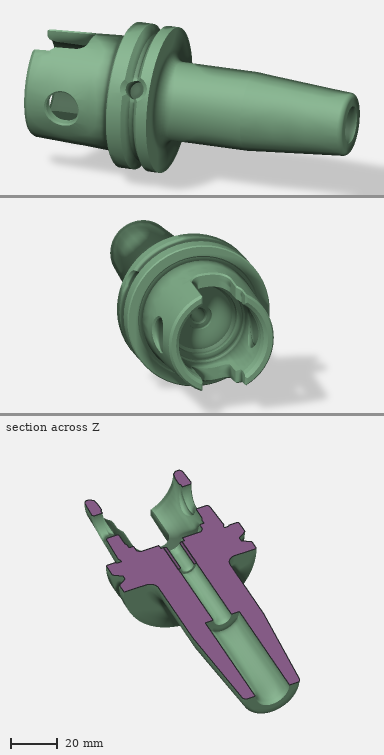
import cadquery as cq
import math


total_length = 139.95
flange_start = 39.7
flange_end = 58.0

shank_end_diameter = 46.3
shank_taper = 0.1
shank_lead_length = 1.4
shank_lead_depth = 0.8
relief_width = 0.9
relief_depth = 0.6
face_recess_diameter = 53.8
face_recess_depth = 0.6

flange_diameter = 62.95
flange_chamfer = 0.5
groove_center = 49.8
groove_mouth = 6.8
groove_floor = 1.8
groove_depth = 3.85

neck_diameter = 34.0
neck_fillet = 4.0
nose_diameter = 27.0
nose_half_angle = 4.5
nose_fillet = 2.0

mouth_diameter = 40.6
mouth_step_diameter = 37.6
mouth_depth = 1.35
cavity_diameter = 36.5
cavity_lead_end = 4.25
cavity_end = 31.0
seat_diameter = 35.27
seat_start = 32.0
seat_end = 34.0
floor_bore_diameter = 31.1
floor_chamfer = 1.25
cavity_floor = 38.2

slot_half_width = 8.4
slot_end = 22.6
slot_corner_radius = 4.2
slot_wide_half_width = 10.4
slot_wide_end = 7.3
slot_mouth_bevel = 0.8
slot_chamfer = 0.7
ball_hole_diameter = 14.5
ball_hole_chamfer = 0.8
ball_seat_diameter = 16.6
ball_seat_center = 16.6
ball_seat_reach = 18.8
ball_hole_center = 17.4

edge_tolerance = 0.05

notch_center = 50.9
notch_elevation = 30.0
notch_diameter = 8.0
notch_rim_diameter = 12.0
notch_floor_radius = 22.0

tool_bore_diameter = 16.0
tool_bore_depth = 50.0
relief_bore_diameter = 11.0
relief_bore_depth = 2.0
screw_diameter = 8.47
screw_length = 15.0
coolant_bore_diameter = 6.0
coolant_rim_diameter = 7.47


def turned(profile):
    """Close an open outline and turn it about the X axis."""
    return profile.close().revolve(360, (0, 0, 0), (1, 0, 0))


def taper_radius(x):
    return (shank_end_diameter + shank_taper * x) / 2


def make_outside():
    flange_radius = flange_diameter / 2
    recess_radius = face_recess_diameter / 2
    recess_floor = flange_start + face_recess_depth
    relief_start = flange_start - relief_width
    relief_radius = taper_radius(relief_start) - relief_depth
    neck_radius = neck_diameter / 2
    cone_length = (neck_diameter - nose_diameter) / 2 / math.tan(math.radians(nose_half_angle))
    profile = (
        cq.Workplane("XY")
        .moveTo(0, 0)
        .lineTo(0, taper_radius(0) - shank_lead_depth)
        .lineTo(shank_lead_length, taper_radius(shank_lead_length))
        .lineTo(relief_start, taper_radius(relief_start))
        .lineTo(relief_start + relief_depth, relief_radius)
        .lineTo(recess_floor, relief_radius)
        .lineTo(recess_floor, recess_radius - face_recess_depth)
        .lineTo(flange_start, recess_radius)
        .lineTo(flange_start, flange_radius - flange_chamfer)
        .lineTo(flange_start + flange_chamfer, flange_radius)
        .lineTo(flange_end, flange_radius)
        .lineTo(flange_end, neck_radius + neck_fillet)
        .radiusArc((flange_end + neck_fillet, neck_radius), -neck_fillet)
        .lineTo(total_length - cone_length, neck_radius)
        .lineTo(total_length, nose_diameter / 2)
        .lineTo(total_length, 0)
    )
    body = turned(profile)
    return body.faces(">X").edges().fillet(nose_fillet)


def make_groove():
    rim_radius = flange_diameter / 2
    floor_radius = rim_radius - groove_depth
    half_mouth = groove_mouth / 2
    half_floor = groove_floor / 2
    profile = (
        cq.Workplane("XY")
        .moveTo(groove_center - half_floor, floor_radius)
        .lineTo(groove_center + half_floor, floor_radius)
        .lineTo(groove_center + half_mouth, rim_radius)
        .lineTo(groove_center - half_mouth, rim_radius)
    )
    return turned(profile)


def make_cavity():
    profile = (
        cq.Workplane("XY")
        .moveTo(0, 0)
        .lineTo(0, mouth_diameter / 2)
        .lineTo(mouth_depth, mouth_step_diameter / 2)
        .lineTo(cavity_lead_end, cavity_diameter / 2)
        .lineTo(cavity_end, cavity_diameter / 2)
        .lineTo(seat_start, seat_diameter / 2)
        .lineTo(seat_end, seat_diameter / 2)
        .lineTo(seat_end, floor_bore_diameter / 2)
        .lineTo(cavity_floor - floor_chamfer, floor_bore_diameter / 2)
        .lineTo(cavity_floor, floor_bore_diameter / 2 - floor_chamfer)
        .lineTo(cavity_floor, 0)
    )
    return turned(profile)


def make_slot():
    corner_start = slot_end - slot_corner_radius
    corner_offset = slot_half_width - slot_corner_radius
    widening = slot_wide_half_width - slot_half_width
    return (
        cq.Workplane("XY", origin=(0, 0, -flange_diameter / 2))
        .moveTo(0, slot_half_width + slot_mouth_bevel)
        .lineTo(slot_mouth_bevel, slot_half_width)
        .lineTo(corner_start, slot_half_width)
        .radiusArc((slot_end, corner_offset), slot_corner_radius)
        .lineTo(slot_end, -corner_offset)
        .radiusArc((corner_start, -slot_half_width), slot_corner_radius)
        .lineTo(slot_wide_end + widening, -slot_half_width)
        .lineTo(slot_wide_end, -slot_wide_half_width)
        .lineTo(slot_mouth_bevel, -slot_wide_half_width)
        .lineTo(0, -slot_wide_half_width - slot_mouth_bevel)
        .close()
        .extrude(flange_diameter)
    )


def across_shank(center, diameter, reach):
    """Cylinder along Y through the shank, reaching equally far on both sides of the axis."""
    return cq.Workplane("XZ", origin=(center, reach, 0)).circle(diameter / 2).extrude(2 * reach)


def make_notch(side, rim_diameter):
    """Radial hole in the flange, on the +Y (side = 1) or -Y (side = -1) flank."""
    angle = math.radians(notch_elevation)
    outward = cq.Vector(0, side * math.cos(angle), math.sin(angle))
    depth = flange_diameter / 2 - notch_floor_radius
    floor_center = cq.Vector(notch_center, 0, 0) + outward * notch_floor_radius
    hole = cq.Solid.makeCylinder(notch_diameter / 2, depth, floor_center, outward)
    countersink = (rim_diameter - notch_diameter) / 2
    if countersink > 0:
        cone_start = floor_center + outward * (depth - countersink)
        cone = cq.Solid.makeCone(notch_diameter / 2, rim_diameter / 2, countersink, cone_start, outward)
        hole = hole.fuse(cone)
    return hole


def along_axis(start, diameter, length):
    return cq.Workplane("YZ", origin=(start, 0, 0)).circle(diameter / 2).extrude(length)


def is_slot_edge(edge):
    """True for edges where the drive slots break through the taper."""
    middle = edge.positionAt(0.5)
    box = edge.BoundingBox()
    on_taper = abs(math.hypot(middle.y, middle.z) - taper_radius(middle.x)) < edge_tolerance
    beside_slot = abs(middle.y) < slot_wide_half_width + edge_tolerance
    behind_lead = box.xmin > shank_lead_length - edge_tolerance
    before_slot_end = box.xmax < slot_end + edge_tolerance
    return on_taper and beside_slot and behind_lead and before_slot_end


def is_ball_hole_edge(edge):
    """True for the outer rims of the two ball holes."""
    middle = edge.positionAt(0.5)
    across = math.hypot(middle.x - ball_hole_center, middle.z)
    on_hole = abs(across - ball_hole_diameter / 2) < edge_tolerance
    return on_hole and abs(middle.y) > ball_seat_reach + edge_tolerance and edge.geomType() != "LINE"


def make_holder():
    body = make_outside().cut(make_cavity()).cut(make_slot())
    body = body.cut(across_shank(ball_hole_center, ball_hole_diameter, flange_diameter / 2))
    body = body.cut(across_shank(ball_seat_center, ball_seat_diameter, ball_seat_reach))
    slot_edges = [edge for edge in body.edges().vals() if is_slot_edge(edge)]
    body = body.newObject(slot_edges).chamfer(slot_chamfer)
    hole_edges = [edge for edge in body.edges().vals() if is_ball_hole_edge(edge)]
    body = body.newObject(hole_edges).chamfer(ball_hole_chamfer)
    body = body.cut(make_groove())
    body = body.cut(make_notch(-1, notch_rim_diameter))
    body = body.cut(make_notch(1, notch_diameter))
    body = body.cut(along_axis(cavity_floor, relief_bore_diameter, relief_bore_depth))
    body = body.cut(along_axis(cavity_floor, screw_diameter, total_length - cavity_floor))
    return body.cut(along_axis(total_length - tool_bore_depth, tool_bore_diameter, tool_bore_depth))


def make_screw():
    screw_start = cavity_floor + relief_bore_depth
    screw = along_axis(screw_start, screw_diameter, screw_length)
    screw = screw.cut(along_axis(screw_start, coolant_bore_diameter, screw_length))
    bore_mouth = screw.faces("<X").edges(cq.selectors.RadiusNthSelector(0))
    return bore_mouth.chamfer((coolant_rim_diameter - coolant_bore_diameter) / 2)


holder = make_holder()
screw = make_screw()
result = cq.Compound.makeCompound([holder.val(), screw.val()])